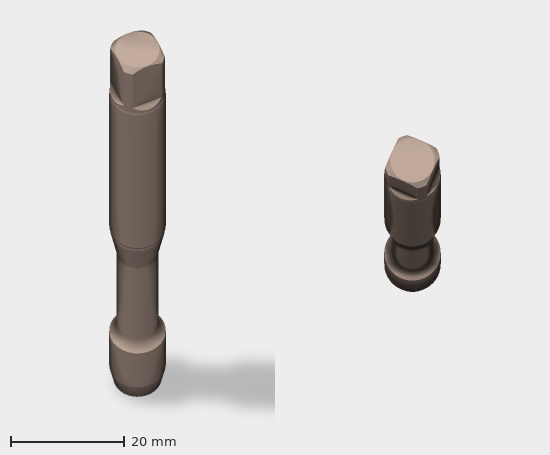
import cadquery as cq
import math

OVERALL_LENGTH = 100.0
TIP_CONE_TOP = 0.9
LEAD_TOP = 4.7
THREAD_TOP = 15.0
NECK_TOP = 39.1
TAPER_TOP = 45.7
SHANK_STEP_BOTTOM = 46.3
SHANK_BOTTOM = 46.9
SHANK_TOP = 87.0
SQUARE_COLLAR_BOTTOM = 87.6
SQUARE_LENGTH = 11.0

TIP_RADIUS = 2.9
LEAD_RADIUS = 4.3
SHANK_RADIUS = 10.0 / 2
THREAD_RADIUS = SHANK_RADIUS
NECK_RADIUS = 7.4 / 2
TAPER_RADIUS = 9.7 / 2
SQUARE_CORNER_RADIUS = 9.8 / 2
END_FACE_RADIUS = 7.8 / 2
NECK_FILLET_RADIUS = 3.0

SQUARE_SIZE = 8.0
END_CHAMFER_ANGLE = 40.0
CUTTER_OVERLAP = 1.0


def make_threaded_head():
    """Cutting head: truncated tip, tapered lead and full-diameter cylinder."""
    return (
        cq.Workplane("XZ")
        .moveTo(0, 0)
        .lineTo(TIP_RADIUS, 0)
        .lineTo(LEAD_RADIUS, TIP_CONE_TOP)
        .lineTo(THREAD_RADIUS, LEAD_TOP)
        .lineTo(THREAD_RADIUS, THREAD_TOP)
        .lineTo(0, THREAD_TOP)
        .close()
        .revolve(360, (0, 0), (0, 1))
    )


def make_turned_shank():
    """Round shank with a concave flare where its neck meets the head."""
    arc_center_radius = NECK_RADIUS + NECK_FILLET_RADIUS
    flare_cosine = (arc_center_radius - THREAD_RADIUS) / NECK_FILLET_RADIUS
    flare_angle = math.acos(flare_cosine)
    flare_top = THREAD_TOP + NECK_FILLET_RADIUS * math.sin(flare_angle)
    flare_middle = (
        arc_center_radius - NECK_FILLET_RADIUS * math.cos(flare_angle / 2),
        flare_top - NECK_FILLET_RADIUS * math.sin(flare_angle / 2),
    )
    chamfer_width = SQUARE_CORNER_RADIUS - END_FACE_RADIUS
    chamfer_height = chamfer_width * math.tan(math.radians(END_CHAMFER_ANGLE))
    return (
        cq.Workplane("XZ")
        .moveTo(0, THREAD_TOP)
        .lineTo(THREAD_RADIUS, THREAD_TOP)
        .threePointArc(flare_middle, (NECK_RADIUS, flare_top))
        .lineTo(NECK_RADIUS, NECK_TOP)
        .lineTo(TAPER_RADIUS, TAPER_TOP)
        .lineTo(TAPER_RADIUS, SHANK_STEP_BOTTOM)
        .lineTo(SHANK_RADIUS, SHANK_BOTTOM)
        .lineTo(SHANK_RADIUS, SHANK_TOP)
        .lineTo(SQUARE_CORNER_RADIUS, SQUARE_COLLAR_BOTTOM)
        .lineTo(SQUARE_CORNER_RADIUS, OVERALL_LENGTH - chamfer_height)
        .lineTo(END_FACE_RADIUS, OVERALL_LENGTH)
        .lineTo(0, OVERALL_LENGTH)
        .close()
        .revolve(360, (0, 0), (0, 1))
    )


def make_flat_cutter():
    """Cutter for one flat of the drive square, with a 45 degree run-out."""
    inner = SQUARE_SIZE / 2
    outer = SHANK_RADIUS + CUTTER_OVERLAP
    flat_bottom = OVERALL_LENGTH - SQUARE_LENGTH
    runout_bottom = flat_bottom - (outer - inner)
    cutter_top = OVERALL_LENGTH + CUTTER_OVERLAP
    return (
        cq.Workplane("XZ")
        .moveTo(inner, flat_bottom)
        .lineTo(outer, runout_bottom)
        .lineTo(outer, cutter_top)
        .lineTo(inner, cutter_top)
        .close()
        .extrude(outer, both=True)
    )


def make_shank():
    """Turned shank with the four flats of its drive square."""
    shank = make_turned_shank()
    flat_cutter = make_flat_cutter()
    for angle in (0, 90, 180, 270):
        shank = shank.cut(flat_cutter.rotate((0, 0, 0), (0, 0, 1), angle))
    return shank


threaded_head = make_threaded_head()
shank = make_shank()

result = cq.Compound.makeCompound([threaded_head.val(), *shank.solids().vals()])